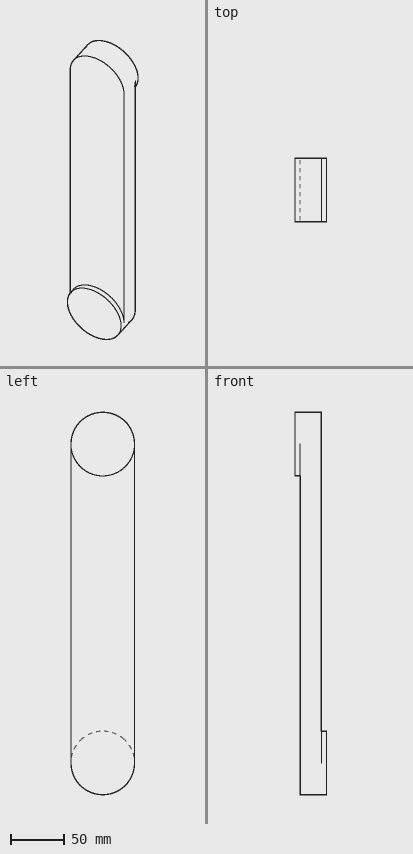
import cadquery as cq

bar_width = 60.0
bar_thickness = 20.0
centre_distance = 300.0
pad_height = 5.0

end_diameter = bar_width
half_thickness = bar_thickness / 2
end_offset = centre_distance / 2


def make_bar():
    """Straight bar between the two end centres, its thickness centred on X = 0."""
    return cq.Workplane("XY").box(bar_thickness, bar_width, centre_distance)


def make_end(side, z_centre):
    """Round bar end, one piece with the pad raised at the given side of X (-1 or +1)."""
    return (
        cq.Workplane("YZ", origin=(-side * half_thickness, 0, z_centre))
        .circle(end_diameter / 2)
        .extrude(side * (bar_thickness + pad_height))
    )


upper_end = make_end(-1, end_offset)
lower_end = make_end(1, -end_offset)
result = make_bar().union(upper_end).union(lower_end)